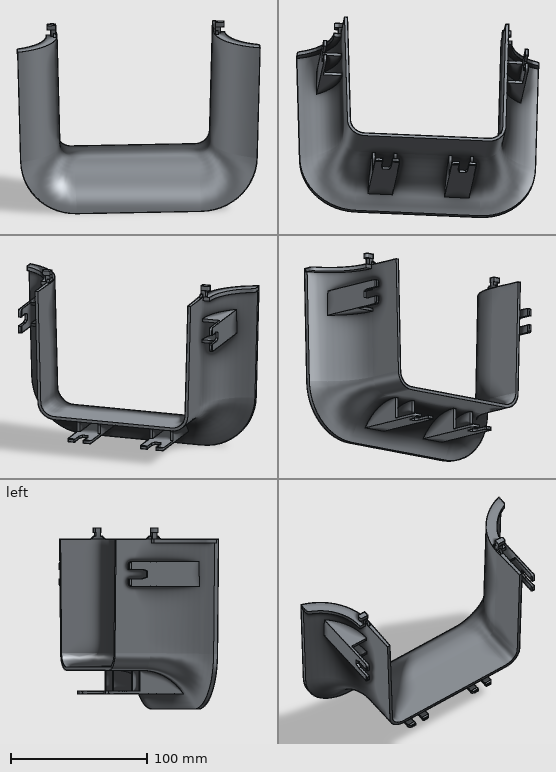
import math

import cadquery as cq

TURN = 20.0

HALF_WIDTH = 60.7
DEPTH = 96.4
CORNER_R = 12.7
DRAFT = math.radians(1.5)
OVERSHOOT = 5.0

LENGTH = 69.7
REAR_WALL = 2.3
FRONT_WALL = 3.0
FLARE_START = 42.0
FLARE_R = 40.9
FLARE_REACH = 28.55
FLARE_MID_ANGLE = 35
INNER_FLARE_R = FLARE_R + FRONT_WALL

CAP_THICKNESS = 2.9
CAP_R = 35.9
CAP_TIP_ROUND = 3.0

SIDE_TAB_OFFSET = 14.7
FLOOR_TAB_OFFSET = 17.3
TAB_THICKNESS = 1.9
TAB_WIDTH = 18.2
TAB_TIP = 64.92
TAB_ROOT = 8.4
TAB_ROUND = 2.5
SLOT_WIDTH = 7.0
SLOT_STRAIGHT = 10.7
SLOT_DEPTH = 14.3
SLOT_END_WIDTH = 4.6
BEAD_R = 1.25
WEB_THICKNESS = 2.2
WEB_REAR = 42.6
WEB_MID_ANGLE = 20
WEB_INSET = 1.3
SIDE_BRACKET_Z = -25.7
FLOOR_BRACKET_X = 28.3

POST_Y = 40.1
POST_INNER_X = 58.8
POST_WIDTH = 3.6
POST_THICKNESS = 3.7
POST_TOP = 8.2
HEAD_HEIGHT = 3.4
HEAD_LENGTH = 6.4
HEAD_WIDTH = 4.2
HEAD_ROUND = 1.4
FIN_LENGTH = 10.8
FIN_CREST = 6.4
FIN_HEIGHT = 2.2
FIN_THICKNESS = 1.8


def circle_y(radius, offset):
    """Y on the front half of a circle about the flare centre, at an outward offset."""
    return FLARE_START - math.sqrt(radius**2 - (FLARE_R - offset) ** 2)


def arc_point(radius, degrees):
    """Point (offset, Y) on a circle about the flare centre, measured from its start."""
    angle = math.radians(degrees)
    return FLARE_R - radius * math.cos(angle), FLARE_START - radius * math.sin(angle)


def flared_channel():
    """Sweep the wall-and-flare profile down one wall, across the floor and up the other."""
    corner_z = CORNER_R - DEPTH
    tangent_z = corner_z - CORNER_R * math.sin(DRAFT)
    tangent_x = HALF_WIDTH + tangent_z * math.tan(DRAFT)
    corner_x = tangent_x - CORNER_R * math.cos(DRAFT)
    top_x = HALF_WIDTH + OVERSHOOT * math.tan(DRAFT)
    mid_angle = (math.pi / 2 + DRAFT) / 2
    mid_x = corner_x + CORNER_R * math.cos(mid_angle)
    mid_z = corner_z - CORNER_R * math.sin(mid_angle)

    path = (
        cq.Workplane("XZ")
        .moveTo(-top_x, OVERSHOOT)
        .lineTo(-tangent_x, tangent_z)
        .threePointArc((-mid_x, mid_z), (-corner_x, -DEPTH))
        .lineTo(corner_x, -DEPTH)
        .threePointArc((mid_x, mid_z), (tangent_x, tangent_z))
        .lineTo(top_x, OVERSHOOT)
    )
    start = cq.Plane(
        origin=(-top_x, 0, OVERSHOOT),
        xDir=(-math.cos(DRAFT), 0, -math.sin(DRAFT)),
        normal=(math.sin(DRAFT), 0, -math.cos(DRAFT)),
    )
    profile = (
        cq.Workplane(start)
        .moveTo(0, LENGTH)
        .lineTo(-REAR_WALL, LENGTH)
        .lineTo(-FRONT_WALL, FLARE_START)
        .threePointArc(
            arc_point(INNER_FLARE_R, FLARE_MID_ANGLE),
            (FLARE_REACH, circle_y(INNER_FLARE_R, FLARE_REACH)),
        )
        .lineTo(FLARE_REACH, circle_y(FLARE_R, FLARE_REACH))
        .threePointArc(arc_point(FLARE_R, FLARE_MID_ANGLE), (0, FLARE_START))
        .close()
    )
    channel = profile.sweep(path)
    span = 2 * (HALF_WIDTH + FLARE_REACH + OVERSHOOT)
    above_rim = cq.Workplane("XY").box(span, 2 * LENGTH, 2 * OVERSHOOT, centered=(True, True, False))
    return channel.cut(above_rim)


def rim_cap():
    """Crescent plate behind the right-hand flare, flush with the rim."""
    buried_r = FLARE_R + FRONT_WALL / 2
    tip_y = circle_y(buried_r, FLARE_REACH)
    cap_corner_y = circle_y(CAP_R, FLARE_REACH)
    cap = (
        cq.Workplane("XY")
        .workplane(offset=-CAP_THICKNESS)
        .moveTo(FLARE_R - buried_r, FLARE_START)
        .lineTo(FLARE_R - CAP_R, FLARE_START)
        .threePointArc(arc_point(CAP_R, FLARE_MID_ANGLE), (FLARE_REACH, cap_corner_y))
        .lineTo(FLARE_REACH, tip_y)
        .threePointArc(arc_point(buried_r, FLARE_MID_ANGLE), (FLARE_R - buried_r, FLARE_START))
        .close()
        .extrude(CAP_THICKNESS)
    )
    outer_corner = cq.selectors.NearestToPointSelector((FLARE_REACH, cap_corner_y, -CAP_THICKNESS / 2))
    return cap.edges(outer_corner).fillet(CAP_TIP_ROUND).translate((HALF_WIDTH, 0, 0))


def bracket(tab_offset):
    """Forked tab on two webs; X is the offset from the channel surface, Z runs across the tab."""
    tab_inner = tab_offset - TAB_THICKNESS
    half_width = TAB_WIDTH / 2
    tab = (
        cq.Workplane("XY")
        .box(TAB_THICKNESS, TAB_TIP - TAB_ROOT, TAB_WIDTH, centered=(False, False, True))
        .translate((tab_inner, TAB_ROOT, 0))
    )
    bead = (
        cq.Workplane("XY")
        .center(tab_inner + TAB_THICKNESS / 2, TAB_TIP - BEAD_R)
        .circle(BEAD_R)
        .extrude(half_width, both=True)
    )
    fork_outline = (
        cq.Workplane("YZ")
        .rect(2 * TAB_TIP, TAB_WIDTH)
        .extrude(tab_offset + BEAD_R)
        .edges("|X and >Y")
        .fillet(TAB_ROUND)
    )
    slot = (
        cq.Workplane("YZ")
        .moveTo(TAB_TIP, -SLOT_WIDTH / 2)
        .lineTo(TAB_TIP - SLOT_STRAIGHT, -SLOT_WIDTH / 2)
        .lineTo(TAB_TIP - SLOT_DEPTH, -SLOT_END_WIDTH / 2)
        .lineTo(TAB_TIP - SLOT_DEPTH, SLOT_END_WIDTH / 2)
        .lineTo(TAB_TIP - SLOT_STRAIGHT, SLOT_WIDTH / 2)
        .lineTo(TAB_TIP, SLOT_WIDTH / 2)
        .close()
        .extrude(tab_offset + BEAD_R)
    )
    body = tab.union(bead).intersect(fork_outline).cut(slot)

    buried_r = FLARE_R + WEB_INSET
    web = (
        cq.Workplane("XY")
        .moveTo(-WEB_INSET, WEB_REAR)
        .lineTo(tab_offset, WEB_REAR)
        .lineTo(tab_offset, circle_y(buried_r, tab_offset))
        .threePointArc(arc_point(buried_r, WEB_MID_ANGLE), (-WEB_INSET, FLARE_START))
        .close()
        .extrude(WEB_THICKNESS)
    )
    for web_z in (-half_width, half_width - WEB_THICKNESS):
        body = body.union(web.translate((0, 0, web_z)))
    return body


def side_bracket():
    """Bracket on the right-hand wall."""
    return bracket(SIDE_TAB_OFFSET).translate((HALF_WIDTH, 0, SIDE_BRACKET_Z))


def floor_bracket(center_x):
    """Bracket hanging below the floor."""
    upright = bracket(FLOOR_TAB_OFFSET)
    return upright.rotate((0, 0, 0), (0, 1, 0), 90).translate((center_x, 0, -DEPTH))


def hooked_post():
    """Post on the right-hand rim with an outward hook and a low fin along its foot."""
    foot = CAP_THICKNESS / 2
    shaft = (
        cq.Workplane("XY")
        .box(POST_THICKNESS, POST_WIDTH, POST_TOP + foot, centered=(False, True, False))
        .translate((POST_INNER_X, POST_Y, -foot))
    )
    head = (
        cq.Workplane("XY")
        .box(HEAD_LENGTH, HEAD_WIDTH, HEAD_HEIGHT, centered=(False, True, False))
        .edges("|Z and >X")
        .fillet(HEAD_ROUND)
        .translate((POST_INNER_X, POST_Y, POST_TOP - HEAD_HEIGHT))
    )
    fin = (
        cq.Workplane("YZ")
        .moveTo(-FIN_LENGTH / 2, -foot)
        .lineTo(-FIN_LENGTH / 2, 0)
        .lineTo(-FIN_CREST / 2, FIN_HEIGHT)
        .lineTo(FIN_CREST / 2, FIN_HEIGHT)
        .lineTo(FIN_LENGTH / 2, 0)
        .lineTo(FIN_LENGTH / 2, -foot)
        .close()
        .extrude(FIN_THICKNESS)
        .translate((POST_INNER_X, POST_Y, 0))
    )
    return shaft.union(head).union(fin)


part = flared_channel()
for feature in (rim_cap(), side_bracket(), hooked_post()):
    part = part.union(feature).union(feature.mirror("YZ"))
for bracket_x in (-FLOOR_BRACKET_X, FLOOR_BRACKET_X):
    part = part.union(floor_bracket(bracket_x))

result = part.rotate((0, 0, 0), (0, 0, 1), TURN)